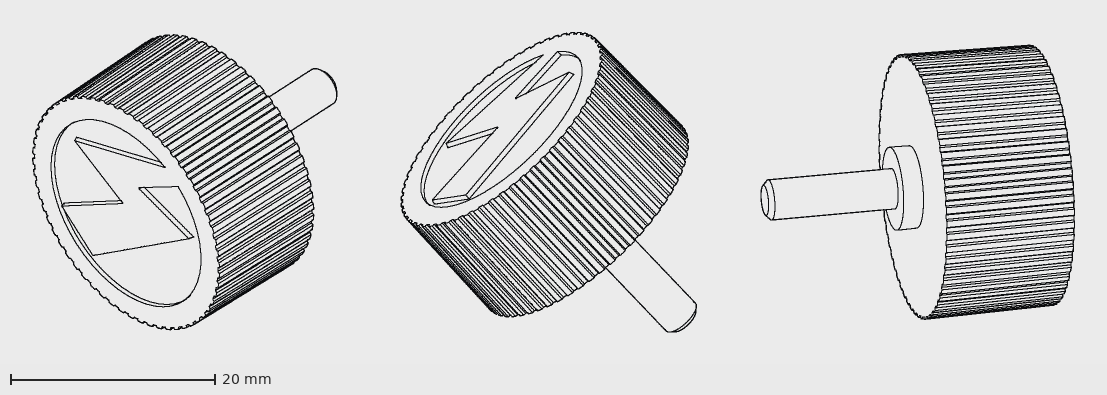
import cadquery as cq
import math

TOTAL_LENGTH = 28.0
DRAFT_ANGLE = 1.0
DRAFT_SLOPE = math.tan(math.radians(DRAFT_ANGLE))

KNOB_LENGTH = 13.0
KNOB_BACK_RADIUS = 13.02
KNOB_FRONT_RADIUS = KNOB_BACK_RADIUS - KNOB_LENGTH * DRAFT_SLOPE

GROOVE_COUNT = 60
GROOVE_DEPTH = 0.22
GROOVE_MOUTH_WIDTH = 0.73
GROOVE_FLOOR_WIDTH = 0.45
GROOVE_OVERSHOOT = 0.28

COLLAR_LENGTH = 2.02
COLLAR_END_RADIUS = 4.1
COLLAR_BASE_RADIUS = COLLAR_END_RADIUS - COLLAR_LENGTH * DRAFT_SLOPE

POCKET_RADIUS = 10.28
POCKET_DEPTH = 0.5
BOLT_TAPER = 10.0
BOLT_FLOOR_OUTLINE = [
    (8.95, 9.95),
    (-7.25, 5.18),
    (-0.6, 0.98),
    (-8.95, -4.1),
    (-4.55, -8.05),
    (8.8, 1.68),
    (1.85, 4.17),
    (9.6, 8.75),
]

PIN_START = KNOB_LENGTH + COLLAR_LENGTH
PIN_LENGTH = TOTAL_LENGTH - PIN_START
PIN_RADIUS = 2.0
PIN_CHAMFER = 0.5


def plane_at(y):
    """Plane across the axis at the given Y, with local axes X and Z and its normal toward -Y."""
    return cq.Workplane("XZ", origin=(0, y, 0))


def make_knob_blank():
    """Drafted knob and collar, turned about the Y axis."""
    profile = [
        (0, 0),
        (KNOB_FRONT_RADIUS, 0),
        (KNOB_BACK_RADIUS, KNOB_LENGTH),
        (COLLAR_BASE_RADIUS, KNOB_LENGTH),
        (COLLAR_END_RADIUS, PIN_START),
        (0, PIN_START),
    ]
    return cq.Workplane("XY").polyline(profile).close().revolve(360, (0, 0, 0), (0, 1, 0))


def groove_section(y):
    """Groove cross-section at the top of the rim, at the given Y."""
    rim_radius = KNOB_FRONT_RADIUS + y * DRAFT_SLOPE
    flank_run = (GROOVE_MOUTH_WIDTH - GROOVE_FLOOR_WIDTH) / 2 / GROOVE_DEPTH
    half_floor = GROOVE_FLOOR_WIDTH / 2
    half_top = GROOVE_MOUTH_WIDTH / 2 + flank_run * GROOVE_OVERSHOOT
    floor_z = rim_radius - GROOVE_DEPTH
    top_z = rim_radius + GROOVE_OVERSHOOT
    corners = [(-half_floor, floor_z), (half_floor, floor_z), (half_top, top_z), (-half_top, top_z)]
    return plane_at(y).polyline(corners).close().wires().val()


def make_groove_cutters():
    """One groove cutter, repeated evenly around the Y axis."""
    front = groove_section(-GROOVE_OVERSHOOT)
    back = groove_section(KNOB_LENGTH + GROOVE_OVERSHOOT)
    cutter = cq.Solid.makeLoft([front, back], True)
    pitch_angle = 360 / GROOVE_COUNT
    return [
        cutter.rotate(cq.Vector(0, 0, 0), cq.Vector(0, 1, 0), index * pitch_angle)
        for index in range(GROOVE_COUNT)
    ]


def make_pocket_cutter():
    """Round pocket minus the lightning bolt, which joins the rim at its upper right."""
    disc = plane_at(POCKET_DEPTH).circle(POCKET_RADIUS).extrude(POCKET_DEPTH)
    bolt = plane_at(POCKET_DEPTH).polyline(BOLT_FLOOR_OUTLINE).close().extrude(POCKET_DEPTH, taper=BOLT_TAPER)
    return disc.cut(bolt)


def make_knob():
    grooved = make_knob_blank().val().cut(*make_groove_cutters())
    return cq.Workplane(grooved).cut(make_pocket_cutter()).solids()


def make_pin():
    """Plain pin standing on the collar, chamfered at its free end."""
    pin = plane_at(PIN_START).circle(PIN_RADIUS).extrude(-PIN_LENGTH)
    return pin.faces(">Y").chamfer(PIN_CHAMFER).solids()


knob = make_knob()
pin = make_pin()

result = cq.Compound.makeCompound([knob.val(), pin.val()])